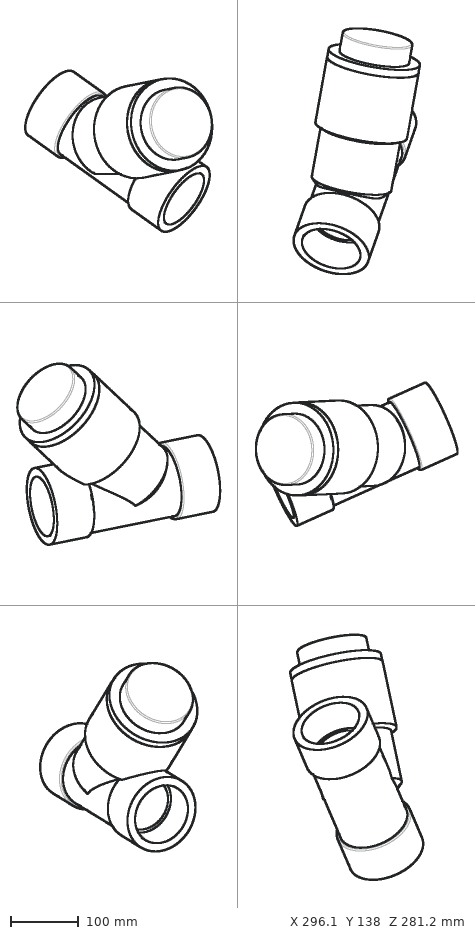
import cadquery as cq
import math

pipe_length = 262.0
pipe_left_x = -97.0
pipe_diameter = 106.0
bore_diameter = 80.0

socket_diameter = 116.0
socket_length = 60.2
socket_edge_radius = 2.0
socket_bore_diameter = 90.0
socket_bore_depth = 51.0

branch_angle = 50.0
neck_diameter = 120.0
neck_start = 24.0
neck_chamfer = 12.0
bonnet_diameter = 138.0
bonnet_cone_start = 102.0
bonnet_cone_length = 4.0
bonnet_end = 207.0

flange_diameter = 137.5
flange_thickness = 12.0
knob_diameter = 105.0
knob_edge_radius = 2.0
knob_height = 29.4
dome_rise = 5.5

pipe_right_x = pipe_left_x + pipe_length


def cylinder_along_x(start_x, length, diameter):
    return cq.Workplane("YZ", origin=(start_x, 0, 0)).circle(diameter / 2).extrude(length)


def make_socket(end_x, inward):
    """Socket collar whose outer end is at end_x; inward is +1 or -1 along X."""
    collar = cylinder_along_x(end_x, inward * socket_length, socket_diameter)
    inner_face = ">X" if inward > 0 else "<X"
    return collar.faces(inner_face).edges().fillet(socket_edge_radius)


def revolve_on_branch(profile):
    """Turn a half profile (radius, distance) about its axis and tilt it onto the branch."""
    turned = profile.close().revolve(360, (0, 0, 0), (0, 1, 0))
    return turned.rotate((0, 0, 0), (0, 1, 0), 90 - branch_angle)


def make_branch():
    neck_radius = neck_diameter / 2
    bonnet_radius = bonnet_diameter / 2
    profile = (
        cq.Workplane("XZ")
        .moveTo(0, neck_start - neck_chamfer)
        .lineTo(neck_radius - neck_chamfer, neck_start - neck_chamfer)
        .lineTo(neck_radius, neck_start)
        .lineTo(neck_radius, bonnet_cone_start)
        .lineTo(bonnet_radius, bonnet_cone_start + bonnet_cone_length)
        .lineTo(bonnet_radius, bonnet_end)
        .lineTo(0, bonnet_end)
    )
    return revolve_on_branch(profile)


def make_housing():
    body = cylinder_along_x(pipe_left_x, pipe_length, pipe_diameter).union(make_branch())
    ends = [(pipe_left_x, 1), (pipe_right_x, -1)]
    for end_x, inward in ends:
        body = body.union(make_socket(end_x, inward))
    body = body.cut(cylinder_along_x(pipe_left_x, pipe_length, bore_diameter))
    for end_x, inward in ends:
        body = body.cut(cylinder_along_x(end_x, inward * socket_bore_depth, socket_bore_diameter))
    return body


def make_cap():
    flange_radius = flange_diameter / 2
    knob_radius = knob_diameter / 2
    dome_radius_at_base = knob_radius - knob_edge_radius
    flange_top = bonnet_end + flange_thickness
    knob_top = flange_top + knob_height

    sphere_radius = (dome_radius_at_base**2 + dome_rise**2) / (2 * dome_rise)
    half_angle = math.asin(dome_radius_at_base / sphere_radius) / 2
    sphere_centre = knob_top + dome_rise - sphere_radius
    mid_arc = (
        sphere_radius * math.sin(half_angle),
        sphere_centre + sphere_radius * math.cos(half_angle),
    )

    profile = (
        cq.Workplane("XZ")
        .moveTo(0, bonnet_end)
        .lineTo(flange_radius, bonnet_end)
        .lineTo(flange_radius, flange_top)
        .lineTo(knob_radius, flange_top)
        .lineTo(knob_radius, knob_top - knob_edge_radius)
        .tangentArcPoint((dome_radius_at_base, knob_top), relative=False)
        .threePointArc(mid_arc, (0, knob_top + dome_rise))
    )
    return revolve_on_branch(profile)


housing = make_housing()
cap = make_cap()

result = cq.Compound.makeCompound([housing.val(), cap.val()])